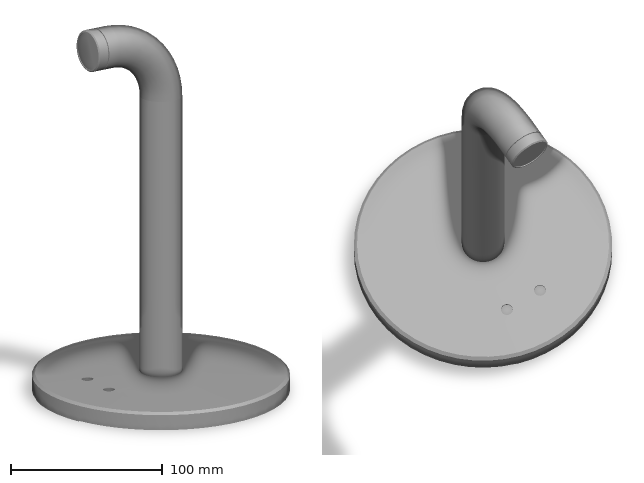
import cadquery as cq

total_height = 259.5
foot_lip_height = 0.5

base_diameter = 170.0
base_radius = base_diameter / 2
base_side_height = 10.5
rim_bevel_width = 2.0
rim_bevel_height = 1.5
crown_height = 1.3
base_peak = base_side_height + rim_bevel_height + crown_height

lip_chord_distance = 81.0

recess_radius = 4.0
recess_half_spacing = 13.0
recess_y = -49.3
recess_depth = 1.5

tube_radius = 14.0
bend_radius = 41.0
neck_length = 8.5
axis_height = total_height - foot_lip_height - tube_radius
bend_start_height = axis_height - bend_radius

groove_width = 0.8
groove_depth = 0.8
cap_length = 7.3
cap_edge_chamfer = 0.8
cap_face_radius = 12.5
cap_face_recess = 0.5


def make_base():
    """Revolve the base profile and add the lip under its front edge."""
    rim_radius = base_radius - rim_bevel_width
    disc = (
        cq.Workplane("XZ")
        .moveTo(0, 0)
        .lineTo(base_radius, 0)
        .lineTo(base_radius, base_side_height)
        .lineTo(rim_radius, base_side_height + rim_bevel_height)
        .lineTo(0, base_peak)
        .close()
        .revolve(360, (0, 0, 0), (0, 1, 0))
    )
    lip_half_width = (base_radius**2 - lip_chord_distance**2) ** 0.5
    lip = (
        cq.Workplane("XY")
        .moveTo(-lip_half_width, -lip_chord_distance)
        .threePointArc((0, -base_radius), (lip_half_width, -lip_chord_distance))
        .close()
        .extrude(-foot_lip_height)
    )
    return disc.union(lip)


def cut_recesses(body):
    """Sink the two round recesses into the top of the base."""
    recesses = (
        cq.Workplane("XY", origin=(0, 0, base_peak))
        .pushPoints([(side * recess_half_spacing, recess_y) for side in (-1, 1)])
        .circle(recess_radius)
        .extrude(-recess_depth)
    )
    return body.cut(recesses)


def make_tube():
    """Sweep the upright, the quarter bend and the straight neck."""
    bend_mid = bend_radius * 0.5**0.5
    path = (
        cq.Workplane("YZ")
        .moveTo(0, 0)
        .lineTo(0, bend_start_height)
        .threePointArc(
            (bend_mid - bend_radius, bend_start_height + bend_mid),
            (-bend_radius, axis_height),
        )
        .lineTo(-bend_radius - neck_length, axis_height)
    )
    return cq.Workplane("XY").circle(tube_radius).sweep(path)


def make_cap():
    """Build the groove core and the chamfered cap with its recessed face."""
    neck_end = cq.Workplane("XZ", origin=(0, -bend_radius - neck_length, axis_height))
    core = neck_end.circle(tube_radius - groove_depth).extrude(groove_width)
    cap = (
        neck_end.workplane(offset=groove_width)
        .circle(tube_radius)
        .extrude(cap_length)
        .faces("<Y")
        .chamfer(cap_edge_chamfer)
        .faces("<Y")
        .workplane()
        .circle(cap_face_radius)
        .cutBlind(-cap_face_recess)
    )
    return core.union(cap)


result = cut_recesses(make_base()).union(make_tube()).union(make_cap())
result = result.translate((0, 0, foot_lip_height))